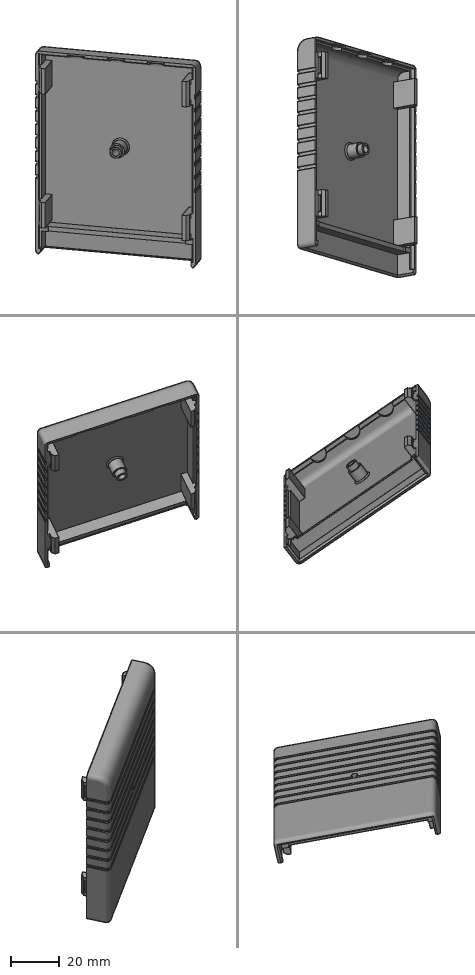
import cadquery as cq
import math

width = 68.0
height = 87.9
depth = 10.0
edge_radius = 2.0
top_radius = 5.0

wall = 2.1
rim_wall = 1.2
step_depth = 1.8
rim_end = 2.4
floor_y = depth - wall
inner_half_width = width / 2 - wall
step_half_width = width / 2 - rim_wall

end_flare = 1.0
flare_offset = end_flare + edge_radius - wall
lip_sum = flare_offset + edge_radius
lip_height = (lip_sum - math.sqrt(lip_sum**2 - 2 * flare_offset**2)) / 2
bottom_z = -lip_height

groove_count = 8
groove_pitch = 5.8
groove_width = 1.5
groove_depth = 0.6
top_groove_z = 73.3

snap_length = 11.0
snap_starts = (12.5, 70.5)
snap_reach = 3.0
snap_thickness = 2.8
snap_chamfer = 1.2
snap_inner_x = inner_half_width - snap_thickness
catch_margin = 2.0
catch_depth = 0.6
catch_apex_y = -0.9
catch_end_y = -1.3

rib_z = 9.4
rib_thickness = 1.9
rib_front_y = 2.6

recess_radius = 3.6
recess_pitch = 17.0
recess_web = 0.7

boss_z = 46.8
boss_diameter = 6.15
spigot_diameter = 4.75
spigot_length = 2.5
bore_diameter = 3.1
floor_hole_diameter = 2.6
boss_foot_radius = 0.6


def box(x0, x1, y0, y1, z0, z1):
    """Box between opposite corners."""
    return cq.Workplane("XY").box(x1 - x0, y1 - y0, z1 - z0, centered=False).translate((x0, y0, z0))


def rounded_block(inset):
    """Outer body moved inwards by the inset at the sides, back and ends."""
    half = width / 2 - inset
    block = box(-half, half, 0, depth - inset, bottom_z + inset, height - inset)
    block = block.edges(">Y and >Z").fillet(top_radius - inset)
    side_edges = block.faces("<X or >X").edges("not <Y")
    return side_edges.add(block.edges(">Y and <Z")).fillet(edge_radius - inset)


def cavity():
    """Inside space, with a rounded top, running out through the open bottom end."""
    space = box(-inner_half_width, inner_half_width, 0, floor_y, bottom_z, height - wall)
    return space.edges(">Y and >Z").fillet(top_radius - wall)


def rim_step():
    """Shallow step that thins the rim of the side walls and the top wall."""
    return box(-step_half_width, step_half_width, 0, step_depth, rim_end, height - rim_wall)


def open_end_flare():
    """Tapered cut that bevels the inside edges of the floor and side walls at the open end."""
    return (
        cq.Workplane("XY", origin=(0, floor_y / 2, bottom_z))
        .rect(2 * (inner_half_width + end_flare), floor_y + 2 * end_flare)
        .extrude(end_flare, taper=45)
    )


def grip_grooves():
    """Square grooves of constant depth wrapped around the sides and the back."""
    core = rounded_block(groove_depth)
    grooves = cq.Workplane("XY")
    for index in range(groove_count):
        z0 = top_groove_z - index * groove_pitch
        grooves = grooves.add(box(-width, width, 0, 2 * depth, z0, z0 + groove_width).cut(core))
    return grooves.vals()


def snap_hook(z0):
    """Hook on the +X wall: a bevelled tongue with an undercut catch in its outer face."""
    tongue = (
        cq.Workplane("XY", origin=(0, 0, z0))
        .moveTo(snap_inner_x, floor_y)
        .lineTo(snap_inner_x, -snap_reach)
        .lineTo(inner_half_width - snap_chamfer, -snap_reach)
        .lineTo(inner_half_width, snap_chamfer - snap_reach)
        .lineTo(inner_half_width, 0)
        .lineTo(step_half_width, 0)
        .lineTo(step_half_width, floor_y)
        .close()
        .extrude(snap_length)
    )
    catch = (
        cq.Workplane("XY", origin=(0, 0, z0 + catch_margin))
        .moveTo(inner_half_width, 0)
        .lineTo(inner_half_width - catch_depth, 0)
        .lineTo(inner_half_width - catch_depth, catch_apex_y)
        .lineTo(inner_half_width, catch_end_y)
        .close()
        .extrude(snap_length - 2 * catch_margin)
    )
    return tongue.cut(catch)


def cross_rib():
    """Rib across the floor, with taller ends that reach the rim step."""
    top_z = rib_z + rib_thickness
    rib = box(-inner_half_width, inner_half_width, step_depth, floor_y, rib_z, top_z)
    return rib.cut(box(-snap_inner_x, snap_inner_x, step_depth, rib_front_y, rib_z, top_z))


def top_recess(x):
    """Half-round recess that leaves a thin web in the top wall."""
    recess_z = height - 2 * wall
    return (
        cq.Workplane("XY", origin=(x, 0, recess_z))
        .circle(recess_radius)
        .extrude(height - recess_web - recess_z)
    )


def screw_boss():
    """Stepped boss with a flared foot, from the floor to the rim plane."""
    boss_radius = boss_diameter / 2
    spigot_radius = spigot_diameter / 2
    foot_y = floor_y - boss_foot_radius
    profile = (
        cq.Workplane("XY")
        .moveTo(0, 0)
        .lineTo(spigot_radius, 0)
        .lineTo(spigot_radius, spigot_length)
        .lineTo(boss_radius, spigot_length)
        .lineTo(boss_radius, foot_y)
        .radiusArc((boss_radius + boss_foot_radius, floor_y), -boss_foot_radius)
        .lineTo(0, floor_y)
        .close()
    )
    return profile.revolve(360, (0, 0, 0), (0, 1, 0)).translate((0, 0, boss_z))


result = rounded_block(0).cut(cavity()).cut(rim_step()).cut(open_end_flare())

for groove in grip_grooves():
    result = result.cut(cq.Workplane(groove))

for x in (-recess_pitch, 0, recess_pitch):
    result = result.cut(top_recess(x))

for start in snap_starts:
    hook = snap_hook(start)
    result = result.union(hook).union(hook.mirror("YZ"))

result = result.union(cross_rib()).union(screw_boss())

for diameter, hole_depth in ((bore_diameter, floor_y), (floor_hole_diameter, depth)):
    hole = cq.Workplane("XZ", origin=(0, 0, boss_z)).circle(diameter / 2).extrude(-hole_depth)
    result = result.cut(hole)